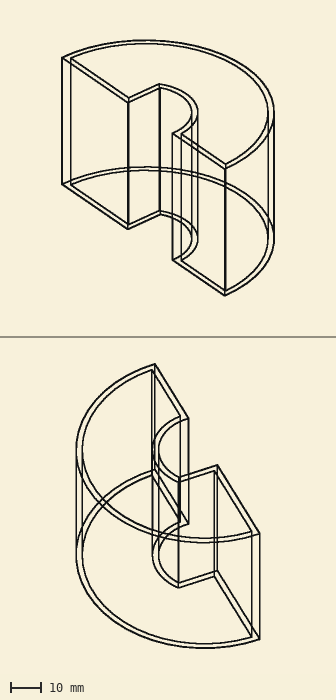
import cadquery as cq
import math

height = 50.0
outer_radius = 42.0
wall = 2.0
hub_bore_radius = 15.0
base_drop = 1.0
step_x = -8.0

cavity_radius = outer_radius - wall
cavity_hub_radius = hub_bore_radius + wall
cavity_step_x = step_x - wall
front_y = -base_drop
cavity_front_y = front_y + wall


def half_ring_outline(big_radius, small_radius, left_x, base_y):
    """Half ring closed by flat base walls, its inner arc cut off by a step at left_x."""
    big_end_x = math.sqrt(big_radius**2 - base_y**2)
    small_end_x = math.sqrt(small_radius**2 - base_y**2)
    step_top_y = math.sqrt(small_radius**2 - left_x**2)
    return (
        cq.Workplane("XY")
        .moveTo(left_x, base_y)
        .lineTo(-big_end_x, base_y)
        .threePointArc((0, big_radius), (big_end_x, base_y))
        .lineTo(small_end_x, base_y)
        .threePointArc((0, small_radius), (left_x, step_top_y))
        .close()
    )


body = half_ring_outline(outer_radius, hub_bore_radius, step_x, front_y).extrude(height)
cavity = half_ring_outline(
    cavity_radius, cavity_hub_radius, cavity_step_x, cavity_front_y
).extrude(height)

result = body.cut(cavity)